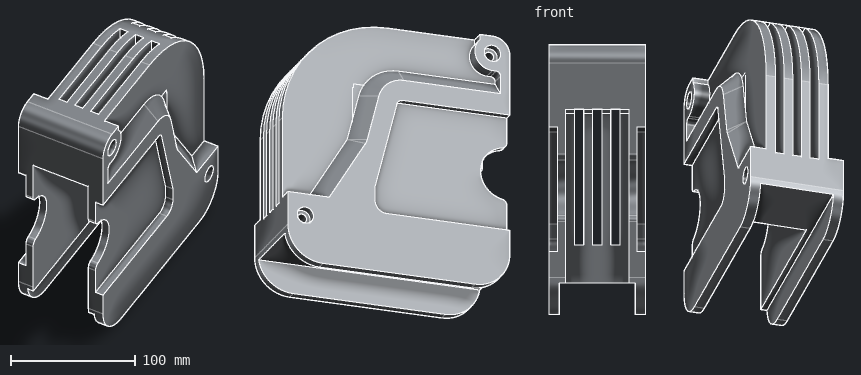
import cadquery as cq
import math

WIDTH = 78.0
DEPTH = 190.0
HEIGHT = 217.0
MARGIN = 43.5

BOTTOM_RADIUS = 30.0
FRONT_TOP_RADIUS = 15.0
BACK_TOP_RADIUS = 90.0

NARROW_WIDTH = 52.0
BEVEL = (WIDTH - NARROW_WIDTH) / 2
BEVEL_TOP_Z = 181.0
BEVEL_ARC_Y = 91.0
BEVEL_RADIUS = 35.0
BEVEL_KINK_Z = 115.7
STEEP_ANGLE = math.radians(14.2)
SHALLOW_ANGLE = math.radians(31.4)
LEDGE_Z = 58.2

HOLE_RADIUS = 4.0
COUNTERBORE_RADIUS = 7.0
COUNTERBORE_DEPTH = 8.0
BOSS_RADIUS = FRONT_TOP_RADIUS
HOLE_INSET = FRONT_TOP_RADIUS
FRONT_HOLE = (HOLE_INSET, HEIGHT - HOLE_INSET)
BACK_HOLE = (DEPTH - HOLE_INSET, 39.7)
BOSS_BACK_Y = 25.5
STRIP_DEPTH = 8.0
BOSS_FILLET = 4.0

CAVITY_WIDTH = 50.8
CAVITY_DEPTH = 130.0
CAVITY_TOP_Z = 165.0
STEP_HEIGHT = 3.3
STEP_DEPTH = 1.0
RELIEF_WIDTH = 61.0
RELIEF_HEIGHT = 25.2

PANEL_DEPTH = 7.0
PANEL_BOTTOM_Z = 50.8
PANEL_TOP_Z = 150.5
PANEL_BACK_Y = 115.5
PANEL_KINK_Z = 72.7
PANEL_BOTTOM_FILLET = 10.0
PANEL_TOP_FILLET = 5.0

NOTCH_Z = 102.0
NOTCH_RADIUS = 22.5
NOTCH_EDGE_FILLET = 5.0

SLOT_COUNT = 3
SLOT_WIDTH = CAVITY_WIDTH / (2 * SLOT_COUNT + 1)
TOP_SLOT_FRONT_Y = 30.0
TOP_SLOT_BACK_Y = 130.5
BACK_SLOT_BOTTOM_Z = 56.0
BACK_SLOT_TOP_Z = 201.4


def side_plane(x=0.0):
    """Sketch plane facing +X, with local axes along Y and Z."""
    return cq.Workplane("YZ", origin=(x, 0, 0))


def box(x_size, y_range, z_range, x_center=0.0):
    """Box centred on x_center, spanning the given Y and Z ranges."""
    y_size = y_range[1] - y_range[0]
    z_size = z_range[1] - z_range[0]
    return cq.Workplane("XY").box(x_size, y_size, z_size, centered=(True, False, False)).translate(
        (x_center, y_range[0], z_range[0])
    )


def on_circle(center, radius, angle):
    """Point on a circle in the Y-Z plane, with the angle measured from +Y towards +Z."""
    return (center[0] + radius * math.cos(angle), center[1] + radius * math.sin(angle))


def outline(width):
    """Rounded side outline, extruded symmetrically about X = 0."""
    body = box(width, (0, DEPTH), (0, HEIGHT))
    body = body.edges("|X and <Z").fillet(BOTTOM_RADIUS)
    body = body.edges("|X and >Z and <Y").fillet(FRONT_TOP_RADIUS)
    return body.edges("|X and >Z and >Y").fillet(BACK_TOP_RADIUS)


def bevelled_core():
    """Wide region around the cavity, bevelled from the narrow body out to the side faces."""
    center = (BEVEL_ARC_Y, BEVEL_TOP_Z - BEVEL_RADIUS)
    arc_start = on_circle(center, BEVEL_RADIUS, math.pi / 2)
    arc_end = on_circle(center, BEVEL_RADIUS, STEEP_ANGLE)
    arc_mid = on_circle(center, BEVEL_RADIUS, (math.pi / 2 + STEEP_ANGLE) / 2)
    kink_y = arc_end[0] + (arc_end[1] - BEVEL_KINK_Z) * math.tan(STEEP_ANGLE)
    foot_y = kink_y + (BEVEL_KINK_Z + MARGIN) * math.tan(SHALLOW_ANGLE)
    half = (
        side_plane(NARROW_WIDTH / 2)
        .moveTo(-MARGIN, BEVEL_TOP_Z)
        .lineTo(*arc_start)
        .threePointArc(arc_mid, arc_end)
        .lineTo(kink_y, BEVEL_KINK_Z)
        .lineTo(foot_y, -MARGIN)
        .lineTo(-MARGIN, -MARGIN)
        .close()
        .extrude(BEVEL, taper=45)
    )
    return half.union(half.mirror("YZ"))


def front_boss():
    """Full-width screw boss at the front top corner, with the strip running down below it."""
    angle = math.acos((BOSS_BACK_Y - FRONT_HOLE[0]) / BOSS_RADIUS)
    arc_start = on_circle(FRONT_HOLE, BOSS_RADIUS, angle)
    arc_mid = on_circle(FRONT_HOLE, BOSS_RADIUS, (angle - math.pi / 2) / 2)
    arc_end = on_circle(FRONT_HOLE, BOSS_RADIUS, -math.pi / 2)
    fillet_center = (STRIP_DEPTH + BOSS_FILLET, arc_end[1] - BOSS_FILLET)
    return (
        side_plane()
        .moveTo(0, HEIGHT)
        .lineTo(BOSS_BACK_Y, HEIGHT)
        .lineTo(*arc_start)
        .threePointArc(arc_mid, arc_end)
        .lineTo(fillet_center[0], arc_end[1])
        .threePointArc(
            on_circle(fillet_center, BOSS_FILLET, 3 * math.pi / 4),
            (STRIP_DEPTH, fillet_center[1]),
        )
        .lineTo(STRIP_DEPTH, 0)
        .lineTo(0, 0)
        .close()
        .extrude(WIDTH / 2, both=True)
    )


def cavity():
    """Main cavity, open at the front and bottom, with wider relief along the bottom."""
    main = box(CAVITY_WIDTH, (-MARGIN, CAVITY_DEPTH), (-MARGIN, CAVITY_TOP_Z - STEP_HEIGHT))
    top = box(CAVITY_WIDTH, (-MARGIN, CAVITY_DEPTH - STEP_DEPTH), (-MARGIN, CAVITY_TOP_Z))
    relief = box(RELIEF_WIDTH, (-MARGIN, DEPTH + MARGIN), (-MARGIN, RELIEF_HEIGHT))
    return main.union(top).union(relief)


def side_panels():
    """Shallow recess on each side, running out through the front edge."""
    top_back_y = PANEL_BACK_Y - (PANEL_TOP_Z - PANEL_KINK_Z) * math.tan(STEEP_ANGLE)
    panel = (
        side_plane(WIDTH / 2 - PANEL_DEPTH)
        .moveTo(-MARGIN, PANEL_BOTTOM_Z)
        .lineTo(PANEL_BACK_Y, PANEL_BOTTOM_Z)
        .lineTo(PANEL_BACK_Y, PANEL_KINK_Z)
        .lineTo(top_back_y, PANEL_TOP_Z)
        .lineTo(-MARGIN, PANEL_TOP_Z)
        .close()
        .extrude(PANEL_DEPTH + MARGIN)
    )
    panel = panel.edges("|X and <Z and >Y").fillet(PANEL_BOTTOM_FILLET)
    panel = panel.faces(">Z").edges(">Y").fillet(PANEL_TOP_FILLET)
    return panel.union(panel.mirror("YZ"))


def front_notch():
    """Round notch with its two front corners rounded over."""
    reach = NOTCH_RADIUS + NOTCH_EDGE_FILLET
    rise = math.sqrt(reach**2 - NOTCH_EDGE_FILLET**2)
    tangent_angle = math.asin(rise / reach)
    lower_center = (NOTCH_EDGE_FILLET, NOTCH_Z - rise)
    upper_center = (NOTCH_EDGE_FILLET, NOTCH_Z + rise)
    mid_angle = math.pi - tangent_angle / 2
    return (
        side_plane()
        .moveTo(0, lower_center[1])
        .threePointArc(
            on_circle(lower_center, NOTCH_EDGE_FILLET, mid_angle),
            on_circle((0, NOTCH_Z), NOTCH_RADIUS, -tangent_angle),
        )
        .threePointArc(
            (NOTCH_RADIUS, NOTCH_Z),
            on_circle((0, NOTCH_Z), NOTCH_RADIUS, tangent_angle),
        )
        .threePointArc(
            on_circle(upper_center, NOTCH_EDGE_FILLET, -mid_angle),
            (0, upper_center[1]),
        )
        .lineTo(-MARGIN, upper_center[1])
        .lineTo(-MARGIN, lower_center[1])
        .close()
        .extrude(WIDTH / 2, both=True)
    )


def screw_hole(center):
    """Through hole along X, counterbored from both sides."""
    hole = side_plane().center(*center).circle(HOLE_RADIUS).extrude(WIDTH, both=True)
    bore = (
        side_plane(WIDTH / 2 - COUNTERBORE_DEPTH)
        .center(*center)
        .circle(COUNTERBORE_RADIUS)
        .extrude(COUNTERBORE_DEPTH)
    )
    return hole.union(bore).union(bore.mirror("YZ"))


def vent_slot(x):
    """One slot through the top and one through the back, both opening into the cavity."""
    inside_y = CAVITY_DEPTH - STEP_DEPTH
    inside_z = CAVITY_TOP_Z - STEP_HEIGHT
    top = box(SLOT_WIDTH, (TOP_SLOT_FRONT_Y, TOP_SLOT_BACK_Y), (inside_z, HEIGHT), x)
    back = box(SLOT_WIDTH, (inside_y, DEPTH), (BACK_SLOT_BOTTOM_Z, BACK_SLOT_TOP_Z), x)
    return top.union(back)


lower_block = box(WIDTH, (0, DEPTH), (0, LEDGE_Z))
wide_regions = bevelled_core().union(lower_block).union(front_boss())
result = outline(NARROW_WIDTH).union(outline(WIDTH).intersect(wide_regions))

result = result.cut(cavity()).cut(side_panels()).cut(front_notch())
for hole_center in (FRONT_HOLE, BACK_HOLE):
    result = result.cut(screw_hole(hole_center))
for index in range(SLOT_COUNT):
    slot_x = (index - (SLOT_COUNT - 1) / 2) * 2 * SLOT_WIDTH
    result = result.cut(vent_slot(slot_x))